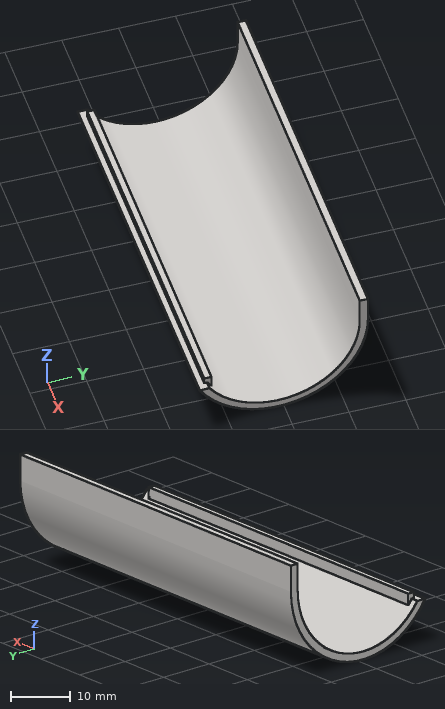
import cadquery as cq
import math

length = 70.4
outer_radius = 16.0
wall = 1.5
straight_wall_height = 4.7
lip_depth = 8.3

rib_end_gap = 1.5
rib_width = 1.3
rib_height = 1.05
rib_setback = 1.3

inner_radius = outer_radius - wall
outer_lip_y = -math.sqrt(outer_radius**2 - lip_depth**2)
inner_lip_y = -math.sqrt(inner_radius**2 - lip_depth**2)


def make_shell():
    """Extrude the J-shaped section, with the arc axis on the X axis."""
    section = (
        cq.Workplane("YZ", origin=(-length / 2, 0, 0))
        .moveTo(outer_radius, straight_wall_height)
        .lineTo(outer_radius, 0)
        .threePointArc((0, -outer_radius), (outer_lip_y, -lip_depth))
        .lineTo(inner_lip_y, -lip_depth)
        .threePointArc((0, -inner_radius), (inner_radius, 0))
        .lineTo(inner_radius, straight_wall_height)
        .close()
    )
    return section.extrude(length)


def make_rib():
    """Extrude the lip rib, its underside following the middle of the shell wall."""
    rib_length = length - 2 * rib_end_gap
    rib_outer_y = outer_lip_y + rib_setback
    rib_inner_y = rib_outer_y + rib_width
    rib_top = -lip_depth + rib_height
    middle_radius = outer_radius - wall / 2
    rib_root = -math.sqrt(middle_radius**2 - rib_inner_y**2)
    section = (
        cq.Workplane("YZ", origin=(-rib_length / 2, 0, 0))
        .moveTo(rib_outer_y, rib_top)
        .lineTo(rib_outer_y, -lip_depth)
        .lineTo(rib_inner_y, rib_root)
        .lineTo(rib_inner_y, rib_top)
        .close()
    )
    return section.extrude(rib_length)


result = make_shell().union(make_rib())